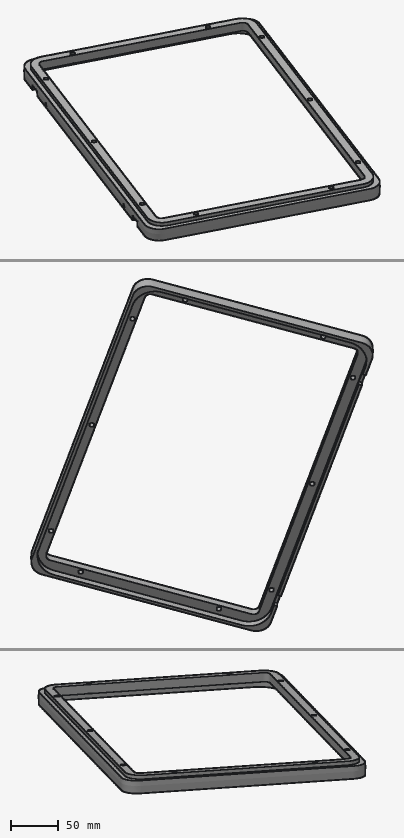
import cadquery as cq

LENGTH = 379.0
WIDTH = 263.0
HEIGHT = 18.2
OUTER_RADIUS = 16.5

PARTING_HEIGHT = 8.5
LOWER_DRAFT = 2.0
UPPER_DRAFT = 2.0

RIM_INSET = 5.3
RIM_HEIGHT = 4.0
RIM_RADIUS = 16.5

BAR_WIDTH = 14.8
WINDOW_RADIUS = 6.0

SKIRT_WALL = 3.8
RECESS_RADIUS = 24.5

MOUNT_DIAMETER = 5.0
MOUNT_INSET = 10.5
LONG_SIDE_SPACING = 139.5
SHORT_SIDE_SPACING = 151.5

CROSS_HOLE_DIAMETER = 3.8
CROSS_HOLE_SPACING = 226.0
CROSS_HOLE_HEIGHT = 3.8
NOTCH_WIDTH = 13.3
NOTCH_HEIGHT = 5.5
NOTCH_SPACING = 290.3


def rounded_block(length, width, height, radius):
    """Upright block with rounded vertical edges, standing on Z = 0."""
    block = cq.Workplane("XY").box(length, width, height, centered=(True, True, False))
    return block.edges("|Z").fillet(radius)


def drafted_wall():
    """Outer block built up and down from the rounded parting outline."""
    outline = cq.Sketch().rect(LENGTH, WIDTH).vertices().fillet(OUTER_RADIUS)
    parting = cq.Workplane("XY", origin=(0, 0, PARTING_HEIGHT)).placeSketch(outline)
    upper = parting.extrude(HEIGHT - RIM_HEIGHT - PARTING_HEIGHT, taper=UPPER_DRAFT)
    lower = parting.extrude(-PARTING_HEIGHT, taper=LOWER_DRAFT)
    return upper.union(lower)


def frame_body():
    """Rectangular frame with a raised rim, an open window and a hollow underside."""
    rim = rounded_block(LENGTH - 2 * RIM_INSET, WIDTH - 2 * RIM_INSET, HEIGHT, RIM_RADIUS)
    window = rounded_block(LENGTH - 2 * BAR_WIDTH, WIDTH - 2 * BAR_WIDTH, HEIGHT, WINDOW_RADIUS)
    recess = rounded_block(LENGTH - 2 * SKIRT_WALL, WIDTH - 2 * SKIRT_WALL, PARTING_HEIGHT, RECESS_RADIUS)
    return drafted_wall().union(rim).cut(window).cut(recess)


def mounting_holes():
    """Three holes along each long bar and two along each short bar."""
    hole_x = LENGTH / 2 - MOUNT_INSET
    hole_y = WIDTH / 2 - MOUNT_INSET
    points = []
    for side in (-1, 1):
        for step in (-1, 0, 1):
            points.append((step * LONG_SIDE_SPACING, side * hole_y))
        for end in (-1, 1):
            points.append((side * hole_x, end * SHORT_SIDE_SPACING / 2))
    return cq.Workplane("XY").pushPoints(points).circle(MOUNT_DIAMETER / 2).extrude(HEIGHT)


def front_skirt_cuts():
    """Two cross holes and two bottom notches, mirrored about X = 0."""
    front = cq.Workplane("XZ", origin=(0, -WIDTH / 2, 0))
    hole_points = [(side * CROSS_HOLE_SPACING / 2, CROSS_HOLE_HEIGHT) for side in (-1, 1)]
    notch_points = [(side * NOTCH_SPACING / 2, NOTCH_HEIGHT / 2) for side in (-1, 1)]
    holes = front.pushPoints(hole_points).circle(CROSS_HOLE_DIAMETER / 2).extrude(-SKIRT_WALL)
    notches = front.pushPoints(notch_points).rect(NOTCH_WIDTH, NOTCH_HEIGHT).extrude(-SKIRT_WALL)
    return holes.union(notches)


result = frame_body().cut(mounting_holes()).cut(front_skirt_cuts())